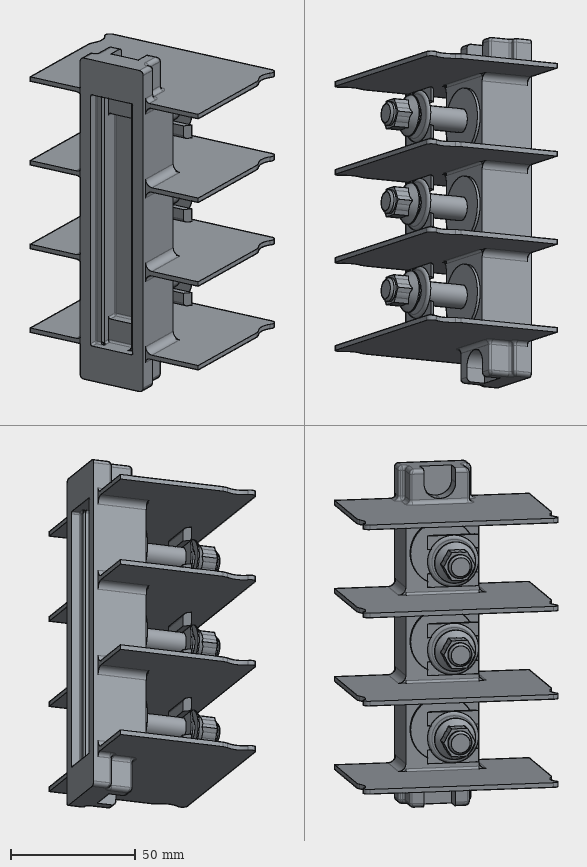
import cadquery as cq
import math


housing_length = 138.2
housing_width = 30.0
terminal_face_y = 22.7

barrier_count = 4
barrier_span = 108.1
barrier_pitch = barrier_span / (barrier_count - 1)
barrier_thickness = 2.0
barrier_width = 80.0
barrier_front_y = 2.0
barrier_tip_y = 60.8
notch_start_y = 46.2
notch_arc_start_y = 48.4
notch_arc_end_y = 57.1
notch_shoulder = 0.62
notch_depth = 2.0
barrier_corner_radius = 2.2
side_root_radius = 3.0
back_root_radius = 1.0

end_step_y = 7.9
end_back_y = 17.8
end_neck_width = 24.6
end_corner_radius = 0.9
end_rim_radius = 1.8
end_root_radius = 1.8
slot_width = 13.0
slot_floor_radius = 6.2
slot_depth = 12.0
slot_front_y = 9.8

recess_width = 20.0
recess_length = barrier_span
recess_depth = 4.0
channel_width = 13.0
channel_end_depth = 8.0
pocket_length = 88.5
pocket_depth = 13.0
recess_side_fillet = 0.4
recess_end_fillet = 0.8
channel_chamfer = 0.8

stud_count = barrier_count - 1
base_radius = 13.3
base_thickness = 1.2
shaft_radius = 4.8
tip_radius = 3.9
tip_y = 58.7
tip_chamfer_length = 1.1
washer_radius = 10.5
washer_front_y = 43.8
washer_back_y = 45.0
clamp_front_y = 41.2
clamp_channel_width = 10.0
washer_edge_drop = 1.5
washer_edge_length = 1.2
clamp_face_taper = 2.3
nut_flange_radius = 8.4
nut_flange_front_y = 47.5
nut_flange_rim = 0.5
nut_hub_radius = 5.8
nut_hex_inradius = 5.7
nut_back_y = 56.7

barrier_z = [(i - (barrier_count - 1) / 2) * barrier_pitch for i in range(barrier_count)]
stud_z = [(i - (stud_count - 1) / 2) * barrier_pitch for i in range(stud_count)]
outer_barrier_face_z = (barrier_span + barrier_thickness) / 2


def block(width, y_start, y_end, length):
    """Box centred on X and Z, between two Y positions."""
    return cq.Workplane("XY").box(width, y_end - y_start, length).translate((0, (y_start + y_end) / 2, 0))


def barrier(z):
    """Thin plate with a waisted edge near its tip on both sides."""
    half = barrier_width / 2
    shoulder = half - notch_shoulder
    corner_start = half - barrier_corner_radius
    corner_mid_y = barrier_tip_y - barrier_corner_radius
    notch_mid_y = (notch_arc_start_y + notch_arc_end_y) / 2
    outline = (
        cq.Workplane("XY")
        .moveTo(-half, barrier_front_y)
        .lineTo(half, barrier_front_y)
        .lineTo(half, notch_start_y)
        .lineTo(shoulder, notch_arc_start_y)
        .threePointArc((half - notch_depth, notch_mid_y), (shoulder, notch_arc_end_y))
        .threePointArc((half, corner_mid_y), (corner_start, barrier_tip_y))
        .lineTo(-corner_start, barrier_tip_y)
        .threePointArc((-half, corner_mid_y), (-shoulder, notch_arc_end_y))
        .threePointArc((notch_depth - half, notch_mid_y), (-shoulder, notch_arc_start_y))
        .lineTo(-half, notch_start_y)
        .close()
    )
    return outline.extrude(barrier_thickness).translate((0, 0, z - barrier_thickness / 2))


def root_profile(plane, radius):
    """Concave fillet section with its square corner at the origin, opening along both local axes."""
    mid = radius * (1 - math.sqrt(0.5))
    return (
        cq.Workplane(plane)
        .lineTo(radius, 0)
        .threePointArc((mid, mid), (0, radius))
        .close()
    )


def barrier_roots():
    """Fillets on the inner faces of the barriers, against the sides and terminal face of the housing."""
    side_length = terminal_face_y - barrier_front_y
    side = root_profile("XZ", side_root_radius).extrude(-side_length)
    side = side.translate((housing_width / 2, barrier_front_y, 0))
    back = root_profile("YZ", back_root_radius).extrude(housing_width / 2)
    back = back.translate((0, terminal_face_y, 0))
    quarter = side.union(back)
    upper = quarter.union(quarter.mirror("YZ"))
    lower = upper.mirror("XY")
    above = [upper.translate((0, 0, z + barrier_thickness / 2)) for z in barrier_z[:-1]]
    below = [lower.translate((0, 0, z - barrier_thickness / 2)) for z in barrier_z[1:]]
    return above + below


def end_block():
    """Top barrier and the stepped block above it, with rounded edges and a U slot open to its end and back."""
    top_z = housing_length / 2
    half = housing_width / 2
    neck = end_neck_width / 2
    body = (
        cq.Workplane("XY", origin=(0, 0, barrier_z[-1]))
        .polyline([
            (-half, 0), (half, 0), (half, end_step_y), (neck, end_step_y),
            (neck, end_back_y), (-neck, end_back_y), (-neck, end_step_y), (-half, end_step_y),
        ])
        .close()
        .extrude(top_z - barrier_z[-1])
    )
    body = body.edges("|Z").edges("not <Y").fillet(end_corner_radius)
    body = body.faces(">Z").edges("not <Y").fillet(end_rim_radius)

    body = body.union(barrier(barrier_z[-1]))
    margin = 0.1
    foot = cq.selectors.BoxSelector(
        (-half - margin, barrier_front_y + margin, outer_barrier_face_z - margin),
        (half + margin, end_back_y + margin, outer_barrier_face_z + margin),
    )
    body = body.edges(foot).fillet(end_root_radius)

    slot_length = 2 * slot_depth
    slot = block(slot_width, slot_front_y, end_back_y, slot_length).edges("|Y").fillet(slot_floor_radius)
    return body.cut(slot.translate((0, 0, top_z)))


def rounded_cutter(width, depth, length, round_sides):
    """Cutting block open at y = 0, with rounded floor edges at its ends and, if asked, along its sides."""
    cutter = block(width, 0, depth, length)
    if round_sides:
        cutter = cutter.edges("|Z and >Y").fillet(recess_side_fillet)
    return cutter.faces("<Z or >Z").edges("not <Y").fillet(recess_end_fillet)


def mounting_recess():
    """Stepped recess cut into the mounting face, deepest in the middle."""
    opening = rounded_cutter(recess_width, recess_depth, recess_length, True)
    channel = rounded_cutter(channel_width, channel_end_depth, recess_length, False)
    pocket = rounded_cutter(channel_width, pocket_depth, pocket_length, True)
    inner = channel_width / 2
    outer = inner + channel_chamfer
    lead_in = (
        cq.Workplane("XY", origin=(0, 0, -recess_length / 2))
        .polyline([
            (-outer, recess_depth), (outer, recess_depth),
            (inner, recess_depth + channel_chamfer), (-inner, recess_depth + channel_chamfer),
        ])
        .close()
        .extrude(recess_length)
    )
    return opening.union(channel).union(pocket).union(lead_in)


def make_housing():
    """Housing with its barriers, end blocks and mounting recess."""
    body = block(housing_width, 0, terminal_face_y, barrier_span)
    for z in barrier_z[1:-1]:
        body = body.union(barrier(z))
    top_end = end_block()
    body = body.union(top_end).union(top_end.mirror("XY"))
    for root in barrier_roots():
        body = body.union(root)
    return body.cut(mounting_recess())


def make_stud(z):
    """Terminal stud with base flange, clamp plate, washer and flanged hexagon nut, along +Y."""
    cone_front_y = nut_flange_front_y + nut_flange_rim
    cone_length = nut_flange_radius - nut_hub_radius
    washer_bevel_radius = washer_radius - washer_edge_drop
    bulge_drop = washer_edge_drop * (1 - math.sqrt(0.5))
    bulge_length = washer_edge_length * (1 - math.sqrt(0.5))
    turned = (
        cq.Workplane("XY")
        .moveTo(0, terminal_face_y)
        .lineTo(base_radius, terminal_face_y)
        .lineTo(base_radius, terminal_face_y + base_thickness)
        .lineTo(shaft_radius, terminal_face_y + base_thickness)
        .lineTo(shaft_radius, washer_front_y)
        .lineTo(washer_radius, washer_front_y)
        .threePointArc(
            (washer_radius - bulge_drop, washer_back_y - bulge_length),
            (washer_bevel_radius, washer_back_y),
        )
        .lineTo(shaft_radius, washer_back_y)
        .lineTo(shaft_radius, nut_flange_front_y)
        .lineTo(nut_flange_radius, nut_flange_front_y)
        .lineTo(nut_flange_radius, cone_front_y)
        .lineTo(nut_hub_radius, cone_front_y + cone_length)
        .lineTo(nut_hub_radius, nut_back_y)
        .lineTo(shaft_radius, nut_back_y)
        .lineTo(shaft_radius, tip_y - tip_chamfer_length)
        .lineTo(tip_radius, tip_y)
        .lineTo(0, tip_y)
        .close()
        .revolve(360, (0, 0, 0), (0, 1, 0))
    )

    hexagon = (
        cq.Workplane("XZ", origin=(0, nut_back_y, 0))
        .polygon(6, 2 * nut_hex_inradius / math.cos(math.pi / 6))
        .extrude(nut_back_y - cone_front_y)
    )

    front_half = washer_radius - clamp_face_taper
    clamp = (
        cq.Workplane("XY", origin=(0, 0, -washer_radius))
        .polyline([
            (-washer_radius, washer_front_y), (washer_radius, washer_front_y),
            (front_half, clamp_front_y), (-front_half, clamp_front_y),
        ])
        .close()
        .extrude(2 * washer_radius)
    )
    clamp = clamp.faces("<Y").edges("|X").fillet(washer_edge_length)
    clamp = clamp.cut(block(2 * washer_radius, clamp_front_y, washer_front_y, clamp_channel_width))
    return turned.union(hexagon).union(clamp).translate((0, 0, z))


housing = make_housing()
studs = [make_stud(z) for z in stud_z]

result = cq.Compound.makeCompound([housing.val(), *[stud.val() for stud in studs]])